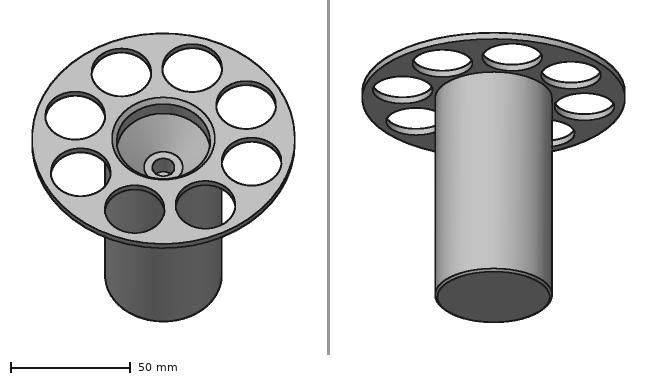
import cadquery as cq

flange_diameter = 110.0
flange_thickness = 3.0
hole_count = 8
hole_diameter = 25.0
hole_circle_diameter = 77.5

total_height = 96.0
body_diameter = 49.0
bottom_chamfer = 1.0

bore_diameter = 39.0
mouth_chamfer = 2.0
mouth_diameter = bore_diameter + 2 * mouth_chamfer
funnel_end_diameter = 16.2
funnel_end_depth = 20.0
funnel_height = (bore_diameter - funnel_end_diameter) / 2
bore_depth = funnel_end_depth - funnel_height

pit_diameter = 9.2
pit_floor_depth = funnel_end_depth + pit_diameter


def make_flange():
    """Disc with a ring of through holes, its top face at Z = 0."""
    disc = cq.Workplane("XY").circle(flange_diameter / 2).extrude(-flange_thickness)
    holes = (
        cq.Workplane("XY")
        .polarArray(hole_circle_diameter / 2, 0, 360, hole_count)
        .circle(hole_diameter / 2)
        .extrude(-flange_thickness)
    )
    return disc.cut(holes)


def make_body():
    """Solid cylinder hanging from Z = 0, with a chamfered bottom edge."""
    body = cq.Workplane("XY").circle(body_diameter / 2).extrude(-total_height)
    return body.faces("<Z").edges().chamfer(bottom_chamfer)


def make_cavity():
    """Chamfered mouth, straight bore, funnel and pit, revolved about Z."""
    profile = [
        (0, 0),
        (mouth_diameter / 2, 0),
        (bore_diameter / 2, -mouth_chamfer),
        (bore_diameter / 2, -bore_depth),
        (funnel_end_diameter / 2, -funnel_end_depth),
        (pit_diameter / 2, -funnel_end_depth),
        (pit_diameter / 2, -pit_floor_depth),
        (0, -pit_floor_depth),
    ]
    return cq.Workplane("XZ").polyline(profile).close().revolve(360, (0, 0), (0, 1))


result = make_flange().union(make_body()).cut(make_cavity())